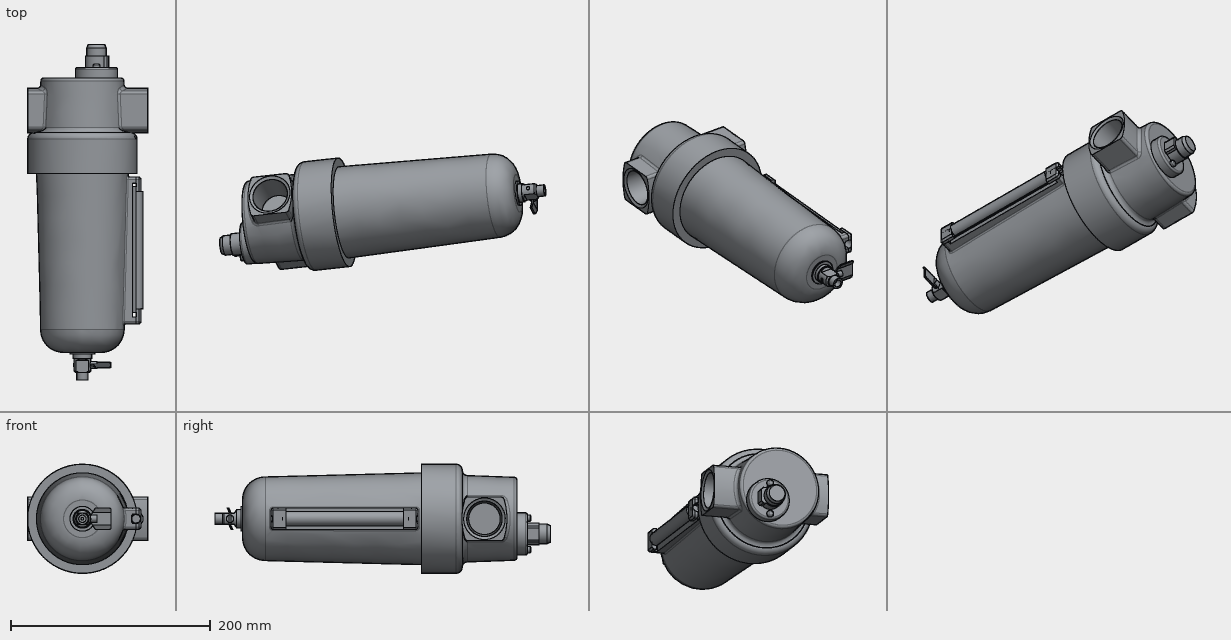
import cadquery as cq
import math


FLANGE_RADIUS = 54.8
FLANGE_BOTTOM = 38.7
FLANGE_EDGE_ROUND = 6.5
SHOULDER_TOP = 79.7
HEAD_TOP = 134.5
HEAD_TOP_RADIUS = 41.7
HEAD_BASE_RADIUS = 43.5
HEAD_EDGE_ROUND = 3.0
NECK_ROUND = 5.5
NECK_START = SHOULDER_TOP + NECK_ROUND

PORT_Y = 102.0
PORT_LEFT_REACH = 54.8
PORT_RIGHT_REACH = 65.5
PORT_HALF_HEIGHT = 22.0
PORT_CORNER_HALF_WIDTH = 19.0
PORT_CORNER_ROUND = 3.5
PORT_HALF_WIDTH = 22.5
PORT_BLEND = 3.5
BORE_MOUTH_RADIUS = 21.0
BORE_MOUTH_DEPTH = 1.7
BORE_RADIUS = 17.8
BORE_END_RADIUS = 15.8
BORE_DEPTH = 33.5

BOWL_TOP_RADIUS = 46.0
BOWL_BASE_RADIUS = 42.0
DOME_START = -117.7
BOWL_BOTTOM = -140.5
BOWL_FLAT_RADIUS = 19.0

BOSS_TOP = 35.3
BOSS_BOTTOM = -112.0
BOSS_FACE_X = 53.8
BOSS_HALF_WIDTH = 10.8
BOSS_CORNER_ROUND = 2.7
BOSS_BLEND = 1.7
WINDOW_TOP = 29.0
WINDOW_BOTTOM = -105.0
WINDOW_DEPTH = 3.5
CHANNEL_RADIUS = 4.7
TUBE_RADIUS = 4.5
CHANNEL_CHAMFER = 1.7

TUBE_TOP = 26.0
TUBE_BOTTOM = -100.5
GUARD_LUG_X = 59.0
GUARD_LUG_CHAMFER = 2.0
GUARD_CROWN_RADIUS = 7.0
GUARD_CROWN_TOP = 21.0
GUARD_CROWN_BOTTOM = -97.0

WASHER_RADIUS = 12.5
WASHER_BOTTOM = -142.3
COLLAR_RADIUS = 9.5
COLLAR_BOTTOM = -146.3
VALVE_RADIUS = 8.5
VALVE_BOTTOM = -160.8
VALVE_CHAMFER = 1.7
VALVE_FLAT_Z = 5.7
VALVE_FLAT_TOP = -148.7
SPOUT_RADIUS = 5.7
SPOUT_BOTTOM = -168.2
SPOUT_BORE_RADIUS = 3.7
SPOUT_BORE_DEPTH = 6.7
PASSAGE_RADIUS = 1.5
PASSAGE_DEPTH = 13.5
PIVOT_RADIUS = 1.7
PIVOT_PROUD = 0.5

LEVER_Y = -153.0
STEM_RADIUS = 3.7
STEM_START_X = 6.0
STEM_END_X = 14.5
PADDLE_START_X = 8.7
PADDLE_END_X = 28.5
PADDLE_NECK_HALF = 4.0
PADDLE_FLAT_HALF = 6.5
PADDLE_HALF_WIDTH = 10.8
PADDLE_SHOULDER_X = 13.0
PADDLE_CORNER = 1.0
PADDLE_THICKNESS = 1.7
PADDLE_BEND = 2.0

INDICATOR_X = 14.0
INDICATOR_Z = -15.0
BASE_RADIUS = 21.2
BASE_TOP = 145.0
BASE_EDGE = 2.0
BODY_RADIUS = 11.0
BODY_TOP = 156.8
KEY_HALF_WIDTH = 8.0
KEY_REACH = 12.5
KEY_CHAMFER = 2.0
NOSE_RADIUS = 9.92
NOSE_TOP = 168.2
NOSE_CHAMFER_LENGTH = 3.5
NOSE_CHAMFER_WIDTH = 1.7
SCREW_OFFSET = 15.8
SCREW_HEAD_RADIUS = 3.5
SCREW_HEAD_HEIGHT = 3.5
SCREW_HEAD_ROUND = 1.5


def y_cylinder(radius, y_start, y_end, x=0.0, z=0.0):
    """Cylinder along Y between two heights."""
    low = min(y_start, y_end)
    axis_point = cq.Vector(x, low, z)
    solid = cq.Solid.makeCylinder(radius, abs(y_end - y_start), axis_point, cq.Vector(0, 1, 0))
    return cq.Workplane(obj=solid)


def block(x_range, y_range, z_range):
    """Box given by its limits along each axis."""
    sizes = [high - low for low, high in (x_range, y_range, z_range)]
    corner = (x_range[0], y_range[0], z_range[0])
    return cq.Workplane().box(*sizes, centered=False).translate(corner)


def arc_point(centre, radius, degrees):
    """Point on a circle at the given angle."""
    angle = math.radians(degrees)
    return (centre[0] + radius * math.cos(angle), centre[1] + radius * math.sin(angle))


def turned(profile):
    """Revolve a radius/height profile about the main axis, with its seam on the +Z side."""
    return profile.close().revolve(360, (0, 0), (0, 1)).rotate((0, 0, 0), (0, 1, 0), -90)


def head_neck():
    """Tapered neck from inside the flange up to its rounded top edge."""
    slope = (HEAD_BASE_RADIUS - HEAD_TOP_RADIUS) / (HEAD_TOP - HEAD_EDGE_ROUND - NECK_START)
    foot_radius = HEAD_BASE_RADIUS + slope * (NECK_START - FLANGE_BOTTOM)
    top_centre = (HEAD_TOP_RADIUS - HEAD_EDGE_ROUND, HEAD_TOP - HEAD_EDGE_ROUND)
    return turned(
        cq.Workplane("XY")
        .moveTo(0, FLANGE_BOTTOM)
        .lineTo(foot_radius, FLANGE_BOTTOM)
        .lineTo(HEAD_TOP_RADIUS, top_centre[1])
        .threePointArc(arc_point(top_centre, HEAD_EDGE_ROUND, 45), (top_centre[0], HEAD_TOP))
        .lineTo(0, HEAD_TOP)
    )


def head_flange():
    """Bowl flange with a rounded shoulder that sweeps up into the neck."""
    shoulder_radius = HEAD_BASE_RADIUS + NECK_ROUND
    edge_centre = (FLANGE_RADIUS - FLANGE_EDGE_ROUND, SHOULDER_TOP - FLANGE_EDGE_ROUND)
    neck_centre = (shoulder_radius, NECK_START)
    return turned(
        cq.Workplane("XY")
        .moveTo(0, FLANGE_BOTTOM)
        .lineTo(FLANGE_RADIUS, FLANGE_BOTTOM)
        .lineTo(FLANGE_RADIUS, edge_centre[1])
        .threePointArc(arc_point(edge_centre, FLANGE_EDGE_ROUND, 45), (edge_centre[0], SHOULDER_TOP))
        .lineTo(shoulder_radius, SHOULDER_TOP)
        .threePointArc(arc_point(neck_centre, NECK_ROUND, 225), (HEAD_BASE_RADIUS, NECK_START))
        .lineTo(0, NECK_START)
    )


def port_block(reach):
    """Port arm from the main axis out to a signed X position, with bulged sides."""
    corner, top = PORT_CORNER_HALF_WIDTH, PORT_HALF_HEIGHT
    return (
        cq.Workplane("YZ", origin=(0, PORT_Y, 0))
        .moveTo(-corner, top)
        .lineTo(corner, top)
        .threePointArc((PORT_HALF_WIDTH, 0), (corner, -top))
        .lineTo(-corner, -top)
        .threePointArc((-PORT_HALF_WIDTH, 0), (-corner, top))
        .close()
        .extrude(reach)
        .edges("|X")
        .fillet(PORT_CORNER_ROUND)
    )


def port_bore(reach):
    """Tapered port bore with a countersunk mouth, opening at a signed X position."""
    inward = -math.copysign(1, reach)
    start = cq.Vector(reach, PORT_Y, 0)
    axis = cq.Vector(inward, 0, 0)
    bore = cq.Solid.makeCone(BORE_RADIUS, BORE_END_RADIUS, BORE_DEPTH, start, axis)
    mouth = cq.Solid.makeCone(BORE_MOUTH_RADIUS, BORE_RADIUS, BORE_MOUTH_DEPTH, start, axis)
    return cq.Workplane(obj=bore.fuse(mouth))


def make_head():
    reaches = (-PORT_LEFT_REACH, PORT_RIGHT_REACH)
    head = head_neck()
    for reach in reaches:
        head = head.union(port_block(reach))
    head = head.edges("not(%LINE or %CIRCLE)").fillet(PORT_BLEND)
    head = head.union(head_flange())
    for reach in reaches:
        head = head.cut(port_bore(reach))
    return head


def bowl_shell():
    dome_width = BOWL_BASE_RADIUS - BOWL_FLAT_RADIUS
    dome_height = DOME_START - BOWL_BOTTOM
    dome_middle = (
        BOWL_FLAT_RADIUS + dome_width * math.sqrt(0.5),
        DOME_START - dome_height * math.sqrt(0.5),
    )
    return turned(
        cq.Workplane("XY")
        .moveTo(0, FLANGE_BOTTOM)
        .lineTo(BOWL_TOP_RADIUS, FLANGE_BOTTOM)
        .lineTo(BOWL_BASE_RADIUS, DOME_START)
        .threePointArc(dome_middle, (BOWL_FLAT_RADIUS, BOWL_BOTTOM))
        .lineTo(0, BOWL_BOTTOM)
    )


def boss_block(x_start, x_end):
    """Slab with the boss outline between two X positions."""
    return block(
        (x_start, x_end), (BOSS_BOTTOM, BOSS_TOP), (-BOSS_HALF_WIDTH, BOSS_HALF_WIDTH)
    ).edges("|X").fillet(BOSS_CORNER_ROUND)


def boss_channel():
    """Groove for the glass tube, cut along the boss through both of its ends."""
    groove = block(
        (BOSS_FACE_X - CHANNEL_RADIUS, BOSS_FACE_X),
        (BOSS_BOTTOM, BOSS_TOP),
        (-CHANNEL_RADIUS, CHANNEL_RADIUS),
    )
    return groove.edges("|Y and <X").chamfer(CHANNEL_CHAMFER)


def make_bowl():
    boss = boss_block(BOWL_BASE_RADIUS / 2, BOSS_FACE_X)
    window = block(
        (BOSS_FACE_X - WINDOW_DEPTH, BOSS_FACE_X),
        (WINDOW_BOTTOM, WINDOW_TOP),
        (-BOSS_HALF_WIDTH, BOSS_HALF_WIDTH),
    )
    seam_zone = cq.selectors.BoxSelector(
        (BOWL_BASE_RADIUS / 2, BOSS_BOTTOM - 3.5, -BOSS_HALF_WIDTH - 3.5),
        (BOWL_TOP_RADIUS, BOSS_TOP + 1.7, BOSS_HALF_WIDTH + 3.5),
    )
    bowl = bowl_shell().union(boss)
    bowl = bowl.edges(seam_zone).edges("not %LINE").fillet(BOSS_BLEND)
    return bowl.cut(window).cut(boss_channel())


def make_tube():
    return y_cylinder(TUBE_RADIUS, TUBE_BOTTOM, TUBE_TOP, x=BOSS_FACE_X)


def make_guard():
    lugs = boss_block(BOSS_FACE_X, GUARD_LUG_X).faces(">X").edges().chamfer(GUARD_LUG_CHAMFER)
    crown = y_cylinder(GUARD_CROWN_RADIUS, GUARD_CROWN_BOTTOM, GUARD_CROWN_TOP, x=BOSS_FACE_X)
    front_half = block(
        (BOSS_FACE_X, BOSS_FACE_X + GUARD_CROWN_RADIUS),
        (GUARD_CROWN_BOTTOM, GUARD_CROWN_TOP),
        (-GUARD_CROWN_RADIUS, GUARD_CROWN_RADIUS),
    )
    middle = block(
        (BOSS_FACE_X, GUARD_LUG_X),
        (GUARD_CROWN_BOTTOM, GUARD_CROWN_TOP),
        (-BOSS_HALF_WIDTH, BOSS_HALF_WIDTH),
    )
    channel = y_cylinder(CHANNEL_RADIUS, BOSS_BOTTOM, BOSS_TOP, x=BOSS_FACE_X)
    return lugs.cut(middle).union(crown.intersect(front_half)).cut(channel)


def valve_flat(side):
    """Cutter for one flat, with a sloped shoulder below the collar."""
    return (
        cq.Workplane("YZ", origin=(-COLLAR_RADIUS, 0, 0))
        .moveTo(COLLAR_BOTTOM, side * COLLAR_RADIUS)
        .lineTo(VALVE_FLAT_TOP, side * VALVE_FLAT_Z)
        .lineTo(VALVE_BOTTOM, side * VALVE_FLAT_Z)
        .lineTo(VALVE_BOTTOM, side * COLLAR_RADIUS)
        .close()
        .extrude(2 * COLLAR_RADIUS)
    )


def lever_stem():
    length = STEM_END_X - STEM_START_X
    return cq.Workplane("YZ", origin=(STEM_START_X, LEVER_Y, 0)).circle(STEM_RADIUS).extrude(length)


def make_valve():
    barrel = y_cylinder(VALVE_RADIUS, COLLAR_BOTTOM, VALVE_BOTTOM).faces("<Y").chamfer(VALVE_CHAMFER)
    for side in (-1, 1):
        barrel = barrel.cut(valve_flat(side))
    pivot_length = VALVE_RADIUS + PIVOT_PROUD
    pivot = cq.Workplane("YZ", origin=(0, LEVER_Y, 0)).circle(PIVOT_RADIUS).extrude(-pivot_length)
    spout_bore = y_cylinder(SPOUT_BORE_RADIUS, SPOUT_BOTTOM, SPOUT_BOTTOM + SPOUT_BORE_DEPTH)
    passage = y_cylinder(PASSAGE_RADIUS, SPOUT_BOTTOM, SPOUT_BOTTOM + PASSAGE_DEPTH)
    return (
        barrel.union(y_cylinder(WASHER_RADIUS, BOWL_BOTTOM, WASHER_BOTTOM))
        .union(y_cylinder(COLLAR_RADIUS, WASHER_BOTTOM, COLLAR_BOTTOM))
        .union(y_cylinder(SPOUT_RADIUS, VALVE_BOTTOM, SPOUT_BOTTOM))
        .union(pivot)
        .cut(spout_bore)
        .cut(passage)
        .cut(lever_stem())
    )


def paddle_section():
    """Bent strip: flat in the middle, one wing folded down and the other up."""
    half = PADDLE_THICKNESS / 2
    flat, edge, bend = PADDLE_FLAT_HALF, PADDLE_HALF_WIDTH, PADDLE_BEND
    return (
        cq.Workplane("YZ", origin=(PADDLE_START_X, LEVER_Y, 0))
        .polyline(
            [
                (half, flat),
                (half - bend, edge),
                (-half - bend, edge),
                (-half, flat),
                (-half, -flat),
                (bend - half, -edge),
                (bend + half, -edge),
                (half, -flat),
            ]
        )
        .close()
        .extrude(PADDLE_END_X - PADDLE_START_X)
    )


def paddle_outline():
    upper = [
        (PADDLE_START_X, PADDLE_NECK_HALF),
        (PADDLE_SHOULDER_X, PADDLE_HALF_WIDTH),
        (PADDLE_END_X - PADDLE_CORNER, PADDLE_HALF_WIDTH),
        (PADDLE_END_X, PADDLE_HALF_WIDTH - PADDLE_CORNER),
    ]
    lower = [(x, -z) for x, z in reversed(upper)]
    reach = PADDLE_THICKNESS + PADDLE_BEND
    return cq.Workplane("XZ", origin=(0, LEVER_Y, 0)).polyline(upper + lower).close().extrude(reach, both=True)


def make_lever():
    return paddle_section().intersect(paddle_outline()).union(lever_stem())


def make_indicator_base():
    base = y_cylinder(BASE_RADIUS, HEAD_TOP, BASE_TOP, INDICATOR_X, INDICATOR_Z)
    return base.faces(">Y").edges().fillet(BASE_EDGE)


def make_indicator_plug():
    body = y_cylinder(BODY_RADIUS, BASE_TOP, BODY_TOP, INDICATOR_X, INDICATOR_Z)
    key = block(
        (INDICATOR_X, INDICATOR_X + KEY_REACH),
        (BASE_TOP, BODY_TOP),
        (INDICATOR_Z - KEY_HALF_WIDTH, INDICATOR_Z + KEY_HALF_WIDTH),
    )
    key = key.edges("|Y and >X").chamfer(KEY_CHAMFER)
    nose = y_cylinder(NOSE_RADIUS, BODY_TOP, NOSE_TOP, INDICATOR_X, INDICATOR_Z)
    nose = nose.faces(">Y").edges().chamfer(NOSE_CHAMFER_LENGTH, NOSE_CHAMFER_WIDTH)
    return body.union(key).union(nose)


def make_screw(side):
    z = INDICATOR_Z + side * SCREW_OFFSET
    screw = y_cylinder(SCREW_HEAD_RADIUS, BASE_TOP, BASE_TOP + SCREW_HEAD_HEIGHT, INDICATOR_X, z)
    return screw.faces(">Y").edges().fillet(SCREW_HEAD_ROUND)


head = make_head()
bowl = make_bowl()
tube = make_tube()
guard = make_guard()
valve = make_valve()
lever = make_lever()
indicator_base = make_indicator_base()
indicator_plug = make_indicator_plug()
screws = [make_screw(side) for side in (-1, 1)]

bodies = [head, bowl, tube, guard, valve, lever, indicator_base, indicator_plug, *screws]
result = cq.Compound.makeCompound([body.val() for body in bodies])